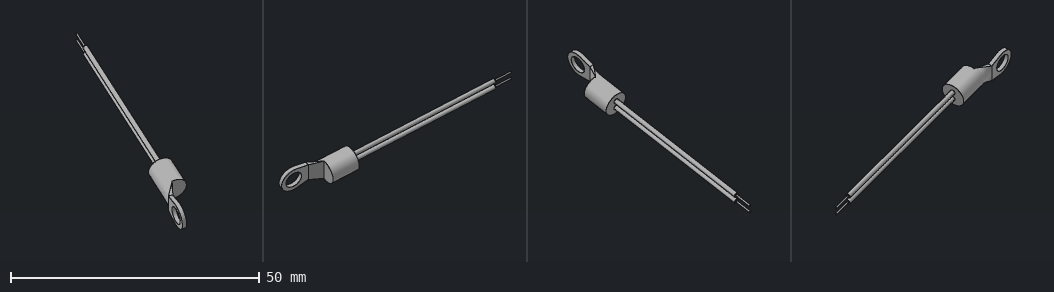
import cadquery as cq
import math

total_length = 55.0
bare_length = 4.0
barrel_start = 39.05
barrel_end = 45.5
neck_end = 48.45

barrel_radius = 2.75

wire_spacing = 1.85
wire_diameter = 1.1
core_diameter = 0.5

ring_diameter = 6.0
hole_diameter = 3.8
tongue_thickness = 1.0
tongue_root_width = 4.5
neck_start_height = 2.25

ring_radius = ring_diameter / 2
ring_center_x = total_length - ring_radius
tongue_back_y = -barrel_radius
tongue_front_y = tongue_back_y + tongue_thickness


def rod(diameter, start, end, z=0.0):
    """Cylinder parallel to X."""
    return cq.Workplane("YZ", origin=(start, 0, z)).circle(diameter / 2).extrude(end - start)


def lead(z):
    """Insulated wire with a stripped end."""
    core = rod(core_diameter, 0, barrel_start, z)
    insulation = rod(wire_diameter, bare_length, barrel_start, z)
    return insulation.union(core)


def ring_tongue():
    """Flat eyelet whose straight sides run tangent into the round end."""
    half_root = tongue_root_width / 2
    root_offset = ring_center_x - neck_end
    root_distance = math.hypot(root_offset, half_root)
    tangent_angle = math.pi - math.atan2(half_root, root_offset) - math.acos(ring_radius / root_distance)
    tangent_x = ring_center_x + ring_radius * math.cos(tangent_angle)
    tangent_z = ring_radius * math.sin(tangent_angle)
    return (
        cq.Workplane("XZ", origin=(0, tongue_front_y, 0))
        .moveTo(neck_end, -half_root)
        .lineTo(tangent_x, -tangent_z)
        .threePointArc((total_length, 0), (tangent_x, tangent_z))
        .lineTo(neck_end, half_root)
        .close()
        .moveTo(ring_center_x, 0)
        .circle(hole_diameter / 2)
        .extrude(tongue_thickness)
    )


def neck():
    """Transition from a segment of the barrel circle to the tongue's rectangular root."""
    half_root = tongue_root_width / 2
    chord_y = tongue_back_y + neck_start_height
    half_chord = math.sqrt(barrel_radius**2 - chord_y**2)

    chord_low = cq.Vector(barrel_end, chord_y, -half_chord)
    chord_high = cq.Vector(barrel_end, chord_y, half_chord)
    arc_middle = cq.Vector(barrel_end, tongue_back_y, 0)
    front_low = cq.Vector(neck_end, tongue_front_y, -half_root)
    front_high = cq.Vector(neck_end, tongue_front_y, half_root)
    back_low = cq.Vector(neck_end, tongue_back_y, -half_root)
    back_high = cq.Vector(neck_end, tongue_back_y, half_root)

    def flat_face(*corners):
        return cq.Face.makeFromWires(cq.Wire.makePolygon(corners, close=True))

    arc = cq.Edge.makeThreePointArc(chord_low, arc_middle, chord_high)
    chord = cq.Edge.makeLine(chord_high, chord_low)
    back_edge = cq.Edge.makeLine(back_low, back_high)
    faces = [
        cq.Face.makeFromWires(cq.Wire.assembleEdges([arc, chord])),
        cq.Face.makeRuledSurface(arc, back_edge),
        flat_face(chord_low, chord_high, front_high, front_low),
        flat_face(chord_low, front_low, back_low),
        flat_face(chord_high, front_high, back_high),
        flat_face(front_low, front_high, back_high, back_low),
    ]
    return cq.Workplane(cq.Solid.makeSolid(cq.Shell.makeShell(faces)).fix())


barrel = rod(2 * barrel_radius, barrel_start, barrel_end)
result = barrel.union(neck()).union(ring_tongue())
for side in (-1, 1):
    result = result.union(lead(side * wire_spacing / 2))